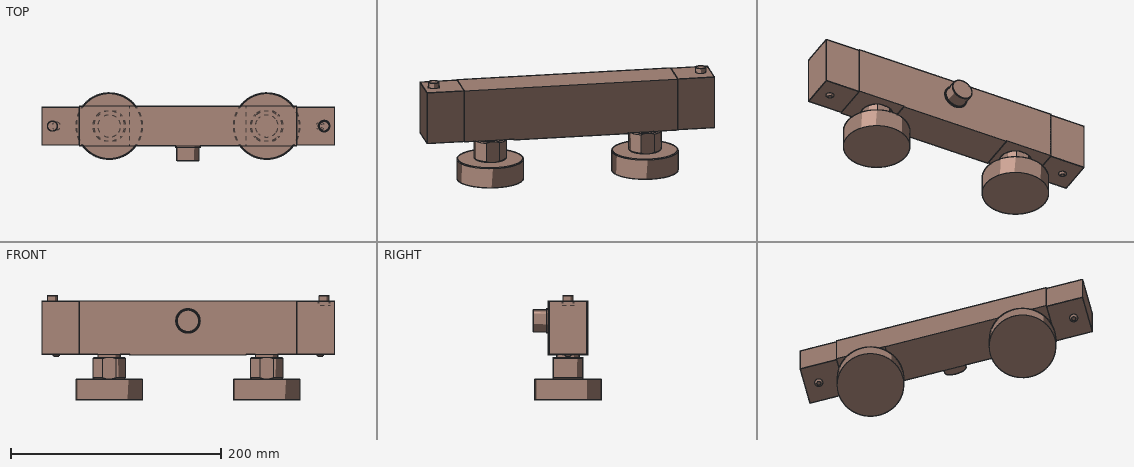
import cadquery as cq


bar_length = 206.7
bar_width = 38.0
bar_top = 94.1
bar_bottom = 42.5
relief_depth = 0.8
relief_start = 55.5

connection_spacing = 149.9
flange_diameter = 63.5
flange_thickness = 20.0
flange_chamfer = 0.8
nut_diameter = 31.2
nut_flat_width = 28.5
nut_top = 40.5
nut_chamfer = 1.0
neck_diameter = 21.5

outlet_z = 75.2
outlet_diameter = 21.5
outlet_reach = 33.1
outlet_chamfer = 0.5
outlet_collar_diameter = 23.5
outlet_collar_length = 1.5

handle_width = 36.2
handle_top = bar_top
handle_bottom = bar_bottom + relief_depth
handle_chamfer = 0.3
left_handle_length = 35.7
right_handle_length = 36.2

button_diameter = 9.7
button_top = 99.2
button_hole_diameter = 11.1
button_hole_depth = 4.2
button_chamfer = 0.3
button_offset = 10.0

screw_diameter = 7.8
screw_tip_diameter = 4.0
screw_height = 2.0
screw_offset = 13.6

left_joint_x = -bar_length / 2
right_joint_x = bar_length / 2
left_end_x = left_joint_x - left_handle_length
right_end_x = right_joint_x + right_handle_length
left_button_x = left_end_x + button_offset
right_button_x = right_end_x - button_offset


def box_between(x_start, x_end, width, z_bottom, z_top):
    """Box centred on Y = 0."""
    return (
        cq.Workplane("XY", origin=((x_start + x_end) / 2, 0, z_bottom))
        .box(x_end - x_start, width, z_top - z_bottom, centered=(True, True, False))
    )


def cylinder_between(x, diameter, z_bottom, z_top):
    """Upright cylinder on the Y = 0 plane."""
    return (
        cq.Workplane("XY", origin=(x, 0, z_bottom))
        .circle(diameter / 2)
        .extrude(z_top - z_bottom)
    )


def make_connection(x):
    """Flange, two-flat nut and neck, from the wall up to the bar."""
    flange = cylinder_between(x, flange_diameter, 0, flange_thickness).faces(">Z").chamfer(flange_chamfer)
    nut = cylinder_between(x, nut_diameter, flange_thickness, nut_top).faces(">Z or <Z").chamfer(nut_chamfer)
    flats = box_between(x - nut_diameter, x + nut_diameter, nut_flat_width, flange_thickness, nut_top)
    neck = cylinder_between(x, neck_diameter, nut_top, bar_bottom + relief_depth)
    return flange.union(nut.intersect(flats)).union(neck)


def make_outlet():
    """Stepped spigot pointing along -Y from the front face of the bar."""
    front_plane = cq.Workplane("XZ", origin=(0, -bar_width / 2, outlet_z))
    spigot = (
        front_plane.circle(outlet_diameter / 2)
        .extrude(outlet_reach - bar_width / 2)
        .faces("<Y")
        .chamfer(outlet_chamfer)
    )
    collar = front_plane.circle(outlet_collar_diameter / 2).extrude(outlet_collar_length)
    return spigot.union(collar)


def make_bar():
    """Bar with both wall connections and the outlet."""
    bar = box_between(-bar_length / 2, bar_length / 2, bar_width, bar_bottom, bar_top)
    for side in (-1, 1):
        x_start, x_end = sorted((side * relief_start, side * bar_length / 2))
        bar = bar.cut(box_between(x_start, x_end, bar_width, bar_bottom, bar_bottom + relief_depth))
    for side in (-1, 1):
        bar = bar.union(make_connection(side * connection_spacing / 2))
    return bar.union(make_outlet())


def make_screw_head(x):
    """Tapered head hanging below a handle."""
    return (
        cq.Workplane("XY", origin=(x, 0, handle_bottom))
        .circle(screw_diameter / 2)
        .workplane(offset=-screw_height)
        .circle(screw_tip_diameter / 2)
        .loft()
    )


def make_handle_block(x_start, x_end):
    """Rectangular handle with every edge broken."""
    block = box_between(x_start, x_end, handle_width, handle_bottom, handle_top)
    return block.edges().chamfer(handle_chamfer)


def make_button_post(x, z_bottom):
    """Round button with a bevelled top edge."""
    return cylinder_between(x, button_diameter, z_bottom, button_top).faces(">Z").chamfer(button_chamfer)


def make_left_handle():
    """Handle with a fixed button on top."""
    handle = make_handle_block(left_end_x, left_joint_x)
    knob = make_button_post(left_button_x, handle_top)
    return handle.union(knob).union(make_screw_head(left_end_x + screw_offset))


def make_right_handle():
    """Handle with a clearance hole for the separate button."""
    handle = make_handle_block(right_joint_x, right_end_x)
    hole = cylinder_between(
        right_button_x, button_hole_diameter, handle_top - button_hole_depth, handle_top
    )
    return handle.cut(hole).union(make_screw_head(right_end_x - screw_offset))


def make_button():
    """Loose button standing on the floor of the right handle's hole."""
    return make_button_post(right_button_x, handle_top - button_hole_depth)


bar = make_bar()
left_handle = make_left_handle()
right_handle = make_right_handle()
button = make_button()

bodies = (bar, left_handle, right_handle, button)
result = cq.Compound.makeCompound([body.solids().val() for body in bodies])